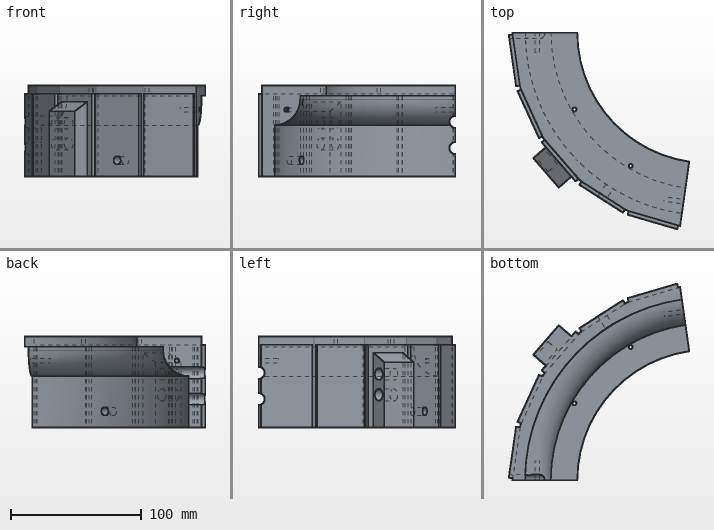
import cadquery as cq
import math

SWEEP = 81.9
PANEL_COUNT = 5
STEP = SWEEP / PANEL_COUNT
OUTER_RADIUS = 149.3
INNER_RADIUS = 99.5
HEIGHT = 69.7

LID_THICKNESS = 8.1
RAIL_RADIUS = 119.8
WALL_RADIUS = 139.5
RAIL_ROUNDING = WALL_RADIUS - RAIL_RADIUS
RAIL_BOTTOM = HEIGHT - 30.4
LID_HOLE_DIAMETER = 2.9
LID_HOLE_RADIUS = 117.5
LID_HOLE_ANGLES = (30.0, 60.0)

PANEL_THICKNESS = 3.0
PANEL_MARGIN = 1.5
PANEL_HEIGHT = HEIGHT - 6.5
FACET_DISTANCE = OUTER_RADIUS * math.cos(math.radians(STEP / 2))
FACET_LENGTH = 2 * OUTER_RADIUS * math.sin(math.radians(STEP / 2))
PANEL_LENGTH = FACET_LENGTH - 2 * PANEL_MARGIN
PANEL_FACE = FACET_DISTANCE + PANEL_THICKNESS

BLOCK_PANEL = 2
BLOCK_LENGTH = 29.8
BLOCK_DEPTH = 12.8
BLOCK_BACK_HEIGHT = 57.3
BLOCK_FRONT_HEIGHT = 49.9
BLOCK_HOLE_DIAMETER = 9.0
BLOCK_HOLE_DEPTH = 15.0
BLOCK_HOLE_HEIGHTS = (25.1, 40.9)

PANEL_HOLE_PANEL = 3
PANEL_HOLE_DIAMETER = 6.5
PANEL_HOLE_HEIGHT = 12.5

END_HOLE_DIAMETER = 3.5
END_HOLE_DEPTH = 15.0
END_HOLE_RADIUS = INNER_RADIUS + 30.8
END_HOLE_HEIGHT = HEIGHT - 18.6
NOTCH_DIAMETER = 9.0
NOTCH_START = PANEL_FACE + PANEL_THICKNESS
NOTCH_HEIGHTS = (21.8, 41.8)


def arc_point(radius, angle):
    """Point at an angle measured along the arc from its start."""
    turn = math.radians(angle)
    return (-radius * math.cos(turn), -radius * math.sin(turn))


def panel_angle(index):
    return (index + 0.5) * STEP


def place(shape, angle):
    """Turn a shape built at the start of the arc to an angle along it."""
    return shape.rotate((0, 0, 0), (0, 0, 1), angle)


def make_prism():
    """Full-height body, faceted outside and round inside."""
    corners = [arc_point(OUTER_RADIUS, i * STEP) for i in range(PANEL_COUNT + 1)]
    return (
        cq.Workplane("XY")
        .polyline(corners)
        .lineTo(*arc_point(INNER_RADIUS, SWEEP))
        .threePointArc(arc_point(INNER_RADIUS, SWEEP / 2), arc_point(INNER_RADIUS, 0))
        .close()
        .extrude(HEIGHT)
    )


def make_hollow():
    """Space inside the wall, below the lid and around the rounded rail."""
    rail_center = RAIL_BOTTOM + RAIL_ROUNDING
    diagonal = RAIL_ROUNDING * math.sqrt(0.5)
    lid_bottom = HEIGHT - LID_THICKNESS
    return (
        cq.Workplane("XZ")
        .moveTo(0, 0)
        .lineTo(WALL_RADIUS, 0)
        .lineTo(WALL_RADIUS, RAIL_BOTTOM)
        .threePointArc((WALL_RADIUS - diagonal, rail_center - diagonal), (RAIL_RADIUS, rail_center))
        .lineTo(RAIL_RADIUS, lid_bottom)
        .lineTo(0, lid_bottom)
        .close()
        .revolve(360, (0, 0, 0), (0, 1, 0))
    )


def make_panel(index):
    panel = cq.Workplane("XY").box(PANEL_THICKNESS, PANEL_LENGTH, PANEL_HEIGHT, centered=(False, True, False))
    return place(panel.translate((-PANEL_FACE, 0, 0)), panel_angle(index))


def make_block():
    """Block with a sloping top and two blind holes in its side."""
    front = -PANEL_FACE - BLOCK_DEPTH
    half_length = BLOCK_LENGTH / 2
    block = (
        cq.Workplane("XZ", origin=(0, half_length, 0))
        .polyline([
            (-PANEL_FACE, 0),
            (front, 0),
            (front, BLOCK_FRONT_HEIGHT),
            (-PANEL_FACE, BLOCK_BACK_HEIGHT),
        ])
        .close()
        .extrude(BLOCK_LENGTH)
    )
    hole_x = front + BLOCK_DEPTH / 2
    holes = (
        cq.Workplane("XZ", origin=(0, half_length, 0))
        .pushPoints([(hole_x, z) for z in BLOCK_HOLE_HEIGHTS])
        .circle(BLOCK_HOLE_DIAMETER / 2)
        .extrude(BLOCK_HOLE_DEPTH)
    )
    return place(block.cut(holes), panel_angle(BLOCK_PANEL))


def make_lid_holes():
    return (
        cq.Workplane("XY", origin=(0, 0, HEIGHT - LID_THICKNESS))
        .pushPoints([arc_point(LID_HOLE_RADIUS, angle) for angle in LID_HOLE_ANGLES])
        .circle(LID_HOLE_DIAMETER / 2)
        .extrude(LID_THICKNESS)
    )


def make_panel_hole():
    hole = (
        cq.Workplane("YZ", origin=(-PANEL_FACE, 0, 0))
        .center(0, PANEL_HOLE_HEIGHT)
        .circle(PANEL_HOLE_DIAMETER / 2)
        .extrude(PANEL_FACE - INNER_RADIUS)
    )
    return place(hole, panel_angle(PANEL_HOLE_PANEL))


def make_end_hole(angle, depth):
    """Blind hole in an end face; a negative depth runs back along the arc."""
    hole = (
        cq.Workplane("XZ")
        .center(-END_HOLE_RADIUS, END_HOLE_HEIGHT)
        .circle(END_HOLE_DIAMETER / 2)
        .extrude(depth)
    )
    return place(hole, angle)


def make_notches():
    """Half-round grooves across the start face."""
    return (
        cq.Workplane("YZ", origin=(-NOTCH_START, 0, 0))
        .pushPoints([(0, z) for z in NOTCH_HEIGHTS])
        .circle(NOTCH_DIAMETER / 2)
        .extrude(NOTCH_START - INNER_RADIUS)
    )


result = make_prism().cut(make_hollow())
for panel_index in range(PANEL_COUNT):
    result = result.union(make_panel(panel_index))
result = result.union(make_block())

result = result.cut(make_lid_holes())
result = result.cut(make_panel_hole())
result = result.cut(make_end_hole(0, END_HOLE_DEPTH))
result = result.cut(make_end_hole(SWEEP, -END_HOLE_DEPTH))
result = result.cut(make_notches())